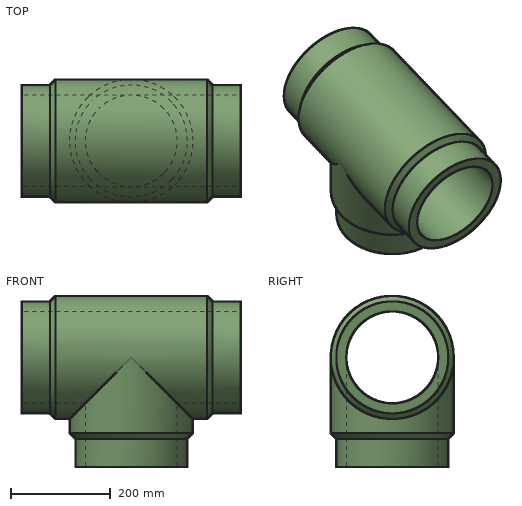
import cadquery as cq

run_length = 440.0
body_diameter = 247.5
spigot_diameter = 225.0
bore_diameter = 184.0
spigot_length = 56.8

reach = run_length / 2
body_reach = reach - spigot_length
shoulder_chamfer = (body_diameter - spigot_diameter) / 2


def arm_outside(plane):
    """Solid arm from the crossing of the axes to an open end, along the plane normal."""
    body = (
        cq.Workplane(plane)
        .circle(body_diameter / 2)
        .extrude(body_reach)
        .faces(cq.DirectionMinMaxSelector(plane.zDir, True))
        .chamfer(shoulder_chamfer)
    )
    spigot = cq.Workplane(plane).circle(spigot_diameter / 2).extrude(reach)
    return body.union(spigot)


def arm_bore(plane):
    """Bore from the crossing of the axes out through an open end."""
    return cq.Workplane(plane).circle(bore_diameter / 2).extrude(reach)


right_end = cq.Plane(origin=(0, 0, 0), xDir=(0, 1, 0), normal=(1, 0, 0))
left_end = cq.Plane(origin=(0, 0, 0), xDir=(0, 1, 0), normal=(-1, 0, 0))
branch_end = cq.Plane(origin=(0, 0, 0), xDir=(1, 0, 0), normal=(0, 0, -1))

run = arm_outside(right_end).union(arm_outside(left_end)).clean()
tee = run.union(arm_outside(branch_end))

for end in (right_end, left_end, branch_end):
    tee = tee.cut(arm_bore(end))

result = tee